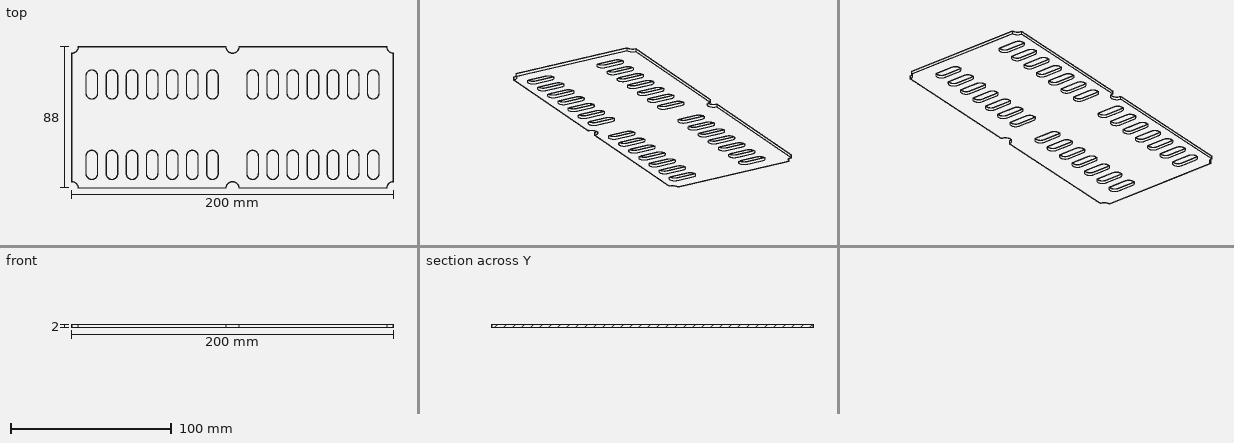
import cadquery as cq

length = 200.0
width = 88.0
thickness = 2.0

notch_radius = 4.0

slots_per_side = 7
outer_slot_span = 175.0
slot_pitch = outer_slot_span / (2 * slots_per_side)
slot_width = 7.0
slot_length = 18.0
row_spacing = 50.0
upper_arc_y = 26.0
upper_row_y = upper_arc_y - (slot_length - slot_width) / 2
row_positions = (upper_row_y, upper_row_y - row_spacing)


def make_plate():
    return cq.Workplane("XY").box(length, width, thickness)


def make_notches():
    centers = [
        (x, y)
        for x in (-length / 2, 0, length / 2)
        for y in (-width / 2, width / 2)
    ]
    notches = cq.Workplane("XY").pushPoints(centers).circle(notch_radius)
    return notches.extrude(thickness, both=True)


def make_slots():
    centers = [
        (side * number * slot_pitch, y)
        for y in row_positions
        for side in (-1, 1)
        for number in range(1, slots_per_side + 1)
    ]
    slots = cq.Workplane("XY").pushPoints(centers).slot2D(slot_length, slot_width, 90)
    return slots.extrude(thickness, both=True)


result = make_plate().cut(make_notches()).cut(make_slots())